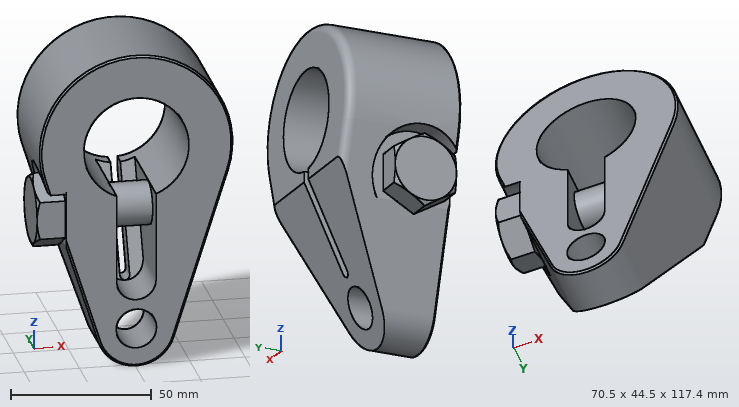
import cadquery as cq
import math

width = 44.5
head_radius = 35.0
overall_height = 117.4
tip_offset = 68.1
tip_radius = overall_height - head_radius - tip_offset
bore_radius = 19.0
tip_hole_radius = 7.3
front_chamfer = 0.7
back_fillet = 3.3

slope_start_z = -23.0
tip_thickness = 16.5
bottom_z = -tip_offset - tip_radius
slope_run = width - tip_thickness
slope_drop = slope_start_z - bottom_z

slot_width = 14.2
slot_bottom_z = -57.1
web_thickness = 7.0
slit_width = 3.5

bolt_y = 14.2
bolt_z = -25.8
shank_radius = 8.0
shank_end_x = 14.2
hex_across_flats = 24.0
hex_across_corners = hex_across_flats / math.cos(math.pi / 6)
bolt_end_x = -35.5
seat_x = -25.3
spotface_radius = 17.5
head_chamfer_angle = math.radians(30)


def lever_outline():
    """Two circles about the bore and the tip joined by their common tangents."""
    sine = (head_radius - tip_radius) / tip_offset
    cosine = math.sqrt(1 - sine**2)
    head_x, head_z = head_radius * cosine, -head_radius * sine
    tip_x, tip_z = tip_radius * cosine, -tip_offset - tip_radius * sine
    return (
        cq.Workplane("XZ")
        .moveTo(-head_x, head_z)
        .threePointArc((0, head_radius), (head_x, head_z))
        .lineTo(tip_x, tip_z)
        .threePointArc((0, bottom_z), (-tip_x, tip_z))
        .close()
    )


def side_profile(points, thickness):
    """Prism of a (Y, Z) outline, centred on X = 0."""
    return cq.Workplane("YZ").polyline(points).close().extrude(thickness / 2, both=True)


def x_cylinder(start_x, end_x, radius):
    """Cylinder on the bolt axis."""
    plane = cq.Workplane("YZ", origin=(start_x, bolt_y, bolt_z))
    return plane.circle(radius).extrude(end_x - start_x)


def lever_body():
    body = lever_outline().extrude(-width)
    body = body.faces("<Y").edges().chamfer(front_chamfer)
    body = body.faces(">Y").edges().fillet(back_fillet)
    behind_slope = side_profile(
        [
            (width, slope_start_z),
            (tip_thickness, bottom_z),
            (tip_thickness - slope_run, bottom_z - slope_drop),
            (width, bottom_z - slope_drop),
        ],
        3 * head_radius,
    )
    return body.cut(behind_slope)


def round_ended_slot(slot):
    """Slot open into the bore, running the full width of the lever."""
    radius = slot / 2
    return (
        cq.Workplane("XZ")
        .moveTo(-radius, 0)
        .lineTo(-radius, slot_bottom_z + radius)
        .threePointArc((0, slot_bottom_z), (radius, slot_bottom_z + radius))
        .lineTo(radius, 0)
        .close()
        .extrude(-width)
    )


def clamp_slot():
    """Wide front slot whose floor runs parallel to the sloping back, plus the slit."""
    web_in_y = web_thickness * math.hypot(slope_run, slope_drop) / slope_drop
    floor_top_y = width - web_in_y - slope_start_z * slope_run / slope_drop
    floor_bottom_y = tip_thickness - web_in_y
    in_front_of_floor = side_profile(
        [(0, 0), (floor_top_y, 0), (floor_bottom_y, bottom_z), (0, bottom_z)],
        slot_width,
    )
    return round_ended_slot(slot_width).intersect(in_front_of_floor).union(round_ended_slot(slit_width))


def bolt():
    head_length = seat_x - bolt_end_x
    hexagon = (
        cq.Workplane("YZ", origin=(bolt_end_x, bolt_y, bolt_z))
        .transformed(rotate=(0, 0, 90))
        .polygon(6, hex_across_corners)
        .extrude(head_length)
    )
    face_radius = hex_across_flats / 2
    cone_rise = head_length * math.tan(math.pi / 2 - head_chamfer_angle)
    cone = cq.Workplane(
        cq.Solid.makeCone(
            face_radius,
            face_radius + cone_rise,
            head_length,
            cq.Vector(bolt_end_x, bolt_y, bolt_z),
            cq.Vector(1, 0, 0),
        )
    )
    shank = x_cylinder(seat_x, shank_end_x, shank_radius)
    return hexagon.intersect(cone).union(shank)


bore = cq.Workplane("XZ").circle(bore_radius).extrude(-width)
tip_hole = cq.Workplane("XZ", origin=(0, 0, -tip_offset)).circle(tip_hole_radius).extrude(-width)
spotface = x_cylinder(-2 * head_radius, seat_x, spotface_radius)

lever = lever_body().cut(clamp_slot()).cut(bore).cut(tip_hole).cut(spotface)
result = lever.union(bolt())